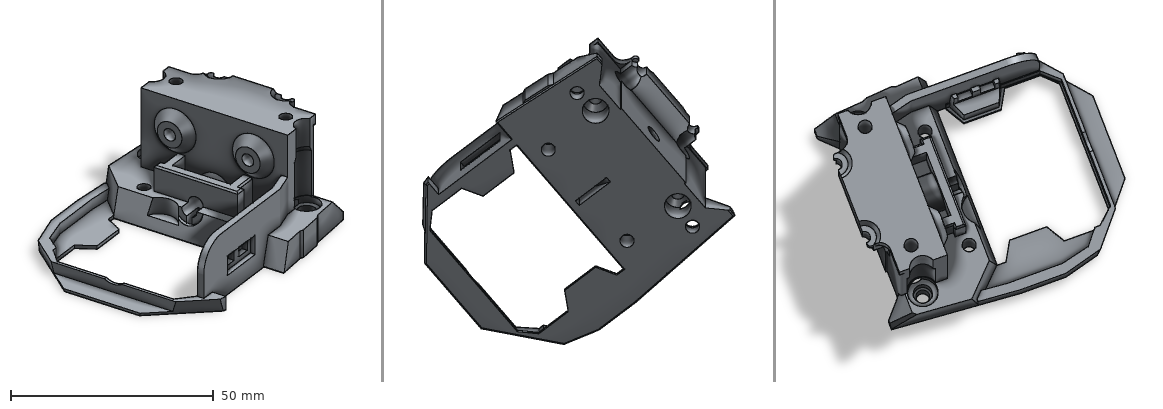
import cadquery as cq
import math


BASE_TOP = 8.2
RIM_TOP = 4.0
FLOOR_TOP = 1.0
BOTTOM_CHAMFER = 0.35

BASE_BACK_Y = 16.8
BASE_BACK_X = 27.05
BASE_FRONT_Y = -11.3
FRONT_SLOPE_RUN = 2.25
BEVEL_SLOPE_RUN = 1.9
BEVEL_SIDE_Y = -3.8
EAR_INNER_X = 25.1
BACK_SLOPE_Z = 2.6
SIDE_BUMP = 0.5
BUMP_BACK_Y = (3.75, 2.4)
BUMP_FRONT_Y = (-4.4, -5.3)
FACET_EDGE_Z = 0.95
FACET_NORMAL = (-1.0, 0.85, 0.7)

FRAME_SIDE_X = 29.6
FRAME_SIDE_START_Y = -16.5
FRAME_START_Y = -5.45
FRAME_SIDE_END_Y = -28.3
RIM_CORNER = (26.8, -38.45)
FLOOR_CORNER = (27.1, -37.35)
LIP_Y = -50.7
LIP_X = 11.0
LIP_TOP_X = 12.2
FRONT_WALL_Y = -45.55
OPENING_X = 20.9
OPENING_FRONT = (17.2, -44.2)
OPENING_CORNER_Y = -40.4
FRONT_LEDGE = 0.5
SIDE_LEDGE = 0.15
RIM_INNER_LEFT = [
    (-26.2, FRAME_START_Y),
    (-26.9, -13.85),
    (-26.9, FRAME_SIDE_END_Y),
    (-25.1, -35.85),
    (-21.05, -39.05),
]
DIP_RADIUS = 4.9
FRAME_GAP_END_Y = -36.55

TAB_MID_Y = -23.4
TAB_TIP_X = 16.0
TAB_TIP_HALF = 4.9
TAB_ROOT_HALF = 7.7
CLIP_BOX_X = 16.7
CLIP_BOX_TOP = 5.6
CLIP_PLATE_X = 20.2
CLIP_PLATE_TOP = 10.35
CLIP_TIP_HALF = 4.65
CLIP_TOP_HALF = 6.3
CLIP_BOTTOM_HALF = 6.95
WINDOW_Z = (6.8, 9.55)
WINDOW_WIDTH = 3.8
WINDOW_PITCH = 5.9
WINDOW_RECESS_X = 21.8
WINDOW_RECESS_MARGIN = 1.35

WALL_TOP = 18.7
WALL_INNER_X = 21.35
WALL_THICKNESS = 1.9
WALL_INNER_BEND_Y = -6.5
WALL_OUTER_BEND_Y = -5.9
WALL_SHIFT = 1.65
WALL_OVERLAP = 0.7
WALL_END_Y = -40.35
WALL_RADIUS = 8.0

BLOCK_X = 21.6
BLOCK_TOP = 30.6
CAP_THICKNESS = 2.8
CAP_BACK_Y = 12.6
BODY_BACK_Y = 12.5
BODY_CORNER_RADIUS = 1.0
SPINE_BACK_Y = 12.9
LUG_X = 12.6
LUG_BACK_Y = 17.45
LUG_BOTTOM = 24.7
LUG_FILLET = 2.9
LUG_TIP_RADIUS = 0.8
LUG_RELIEF_RADIUS = 1.35

SCREW_DIAMETER = 3.4
CONE_X = 11.5
CONE_Z = 21.6
CONE_DIAMETER = 12.3
CONE_HEIGHT = 2.5
HEAD_DIAMETER = 6.0
HEAD_SEAT_Y = 10.2
BLOCK_HOLE = (16.15, 7.5)
BLOCK_HOLE_HEAD_DIAMETER = 6.55
BLOCK_HOLE_HEAD_TOP = 7.5
FRONT_HOLE = (15.5, -8.05)
SIDE_SCREW = (22.7, 6.9)
SIDE_BORE_DIAMETER = 4.7
SIDE_BORE_DEPTH = 2.7
SIDE_POCKET_DEPTH = 1.8
SIDE_POCKET_DIAMETER = 7.5
SIDE_POCKET_TOP = 8.4
SIDE_GROOVE_DIAMETER = 7.9
SIDE_GROOVE_TOP_DIAMETER = 6.55
SIDE_CONE_Z = (21.2, 22.55)
NOTCH_X = 9.95
NOTCH_Y = 17.5
NOTCH_DIAMETER = 3.0
NOTCH_SINK_DEPTH = 1.0

RAIL_X = 12.35
RAIL_FRONT_Y = -8.4
RAIL_FLANGE_Y = -5.5
RAIL_INNER_Y = -5.8
RAIL_ARM_OUTER_X = 11.2
RAIL_ARM_INNER_X = 8.6
RAIL_TOP = 15.4
RAIL_CHAMFER = 0.5
TUBE_DIAMETER = 9.95
TUBE_BORE = 4.4
TUBE_SEAT_DIAMETER = 8.05
KEY_SLOT_WIDTH = 1.5
KEY_SLOT_BACK_Y = -6.15
KEY_SLOT_SLOPE_Z = 4.7
SCOOP = (-6.95, -14.6)
SCOOP_RADIUS = 5.0
SCOOP_FLOOR = 3.55

THROUGH = 81.8


def prism(points, z_low, z_high):
    """Vertical prism over a closed outline."""
    return cq.Workplane("XY").workplane(offset=z_low).polyline(points).close().extrude(z_high - z_low)


def ruled(low_points, low_z, high_points, high_z):
    """Solid with straight sides between two outlines."""
    return (
        cq.Workplane("XY").workplane(offset=low_z).polyline(low_points).close()
        .workplane(offset=high_z - low_z).polyline(high_points).close()
        .loft(ruled=True)
    )


def box(x, y, z):
    """Box from (low, high) limits on each axis."""
    size = [limits[1] - limits[0] for limits in (x, y, z)]
    return cq.Workplane("XY").box(*size, centered=False).translate((x[0], y[0], z[0]))


def cylinder(x, y, diameter, z_low, z_high):
    circle = cq.Workplane("XY").workplane(offset=z_low).center(x, y).circle(diameter / 2)
    return circle.extrude(z_high - z_low)


def cone(x, y, low_diameter, high_diameter, z_low, z_high):
    return (
        cq.Workplane("XY").workplane(offset=z_low).center(x, y).circle(low_diameter / 2)
        .workplane(offset=z_high - z_low).circle(high_diameter / 2).loft()
    )


def y_disc(x, z, diameter, y_start):
    """Circle facing -Y, ready to extrude or loft toward -Y."""
    return cq.Workplane("XZ", origin=(x, y_start, z)).circle(diameter / 2)


def symmetric(half):
    """Close an outline given by its -X half, listed from back to front."""
    return half + [(-x, y) for x, y in reversed(half)]


def side_x(y):
    """Half width of the base at a given Y."""
    flare = (FRAME_SIDE_X - BASE_BACK_X) / (BASE_BACK_Y - FRAME_SIDE_START_Y)
    return BASE_BACK_X + flare * (BASE_BACK_Y - y)


def base_outline(front_run, bevel_run):
    bevel_y = BEVEL_SIDE_Y - bevel_run
    front_y = BASE_FRONT_Y - front_run
    return [
        (-BASE_BACK_X, BASE_BACK_Y),
        (-side_x(bevel_y), bevel_y),
        (-OPENING_X, front_y),
        (side_x(front_y), front_y),
        (BASE_BACK_X, BASE_BACK_Y),
    ]


def make_base():
    base = ruled(base_outline(FRONT_SLOPE_RUN, BEVEL_SLOPE_RUN), 0, base_outline(0, 0), BASE_TOP)
    base = base.faces("<Z").chamfer(BOTTOM_CHAMFER)
    bump = [
        (BASE_BACK_X, BUMP_BACK_Y[0]),
        (side_x(BUMP_BACK_Y[0]), BUMP_BACK_Y[0]),
        (side_x(BUMP_BACK_Y[1]) + SIDE_BUMP, BUMP_BACK_Y[1]),
        (side_x(BUMP_FRONT_Y[0]) + SIDE_BUMP, BUMP_FRONT_Y[0]),
        (side_x(BUMP_FRONT_Y[1]), BUMP_FRONT_Y[1]),
        (BASE_BACK_X, BUMP_FRONT_Y[1]),
    ]
    base = base.union(prism(bump, BOTTOM_CHAMFER, BASE_TOP))

    notch_run = BASE_BACK_Y - BODY_BACK_Y
    notch = symmetric([(-EAR_INNER_X, BASE_BACK_Y), (-EAR_INNER_X + notch_run, BODY_BACK_Y)])
    slope_run = BASE_TOP - BACK_SLOPE_Z
    slope = (
        cq.Workplane("YZ")
        .polyline([
            (BASE_BACK_Y, BACK_SLOPE_Z),
            (BASE_BACK_Y, BASE_TOP),
            (BASE_BACK_Y - slope_run, BASE_TOP),
        ])
        .close().extrude(THROUGH / 2, both=True)
    )
    facet_plane = cq.Plane(origin=(-BASE_BACK_X, BASE_BACK_Y, FACET_EDGE_Z), normal=FACET_NORMAL)
    facet = cq.Workplane(facet_plane).rect(THROUGH / 2, THROUGH / 2).extrude(THROUGH / 4)
    return base.cut(prism(notch, 0, BASE_TOP)).cut(slope).cut(facet)


def make_frame():
    def outline(corner, lip_x):
        return symmetric([
            (-side_x(FRAME_START_Y), FRAME_START_Y),
            (-FRAME_SIDE_X, FRAME_SIDE_START_Y),
            (-FRAME_SIDE_X, FRAME_SIDE_END_Y),
            (-corner[0], corner[1]),
            (-lip_x, LIP_Y),
        ])

    frame = ruled(outline(FLOOR_CORNER, LIP_X), 0, outline(RIM_CORNER, LIP_TOP_X), RIM_TOP)
    frame = frame.faces("<Z").chamfer(BOTTOM_CHAMFER)

    opening = symmetric([
        (-OPENING_X, FRAME_START_Y),
        (-OPENING_X, OPENING_CORNER_Y),
        (-OPENING_FRONT[0], OPENING_FRONT[1]),
    ])
    ledge_x = OPENING_X + SIDE_LEDGE
    ledge_y = OPENING_FRONT[1] - FRONT_LEDGE
    rim_inside = RIM_INNER_LEFT + [
        (-ledge_x, OPENING_CORNER_Y),
        (-OPENING_FRONT[0], ledge_y),
        (OPENING_FRONT[0], ledge_y),
        (ledge_x, OPENING_CORNER_Y),
        (ledge_x, FRAME_START_Y),
    ]
    wall_outer_x = WALL_INNER_X + WALL_THICKNESS
    frame = frame.cut(prism(opening, 0, RIM_TOP)).cut(prism(rim_inside, FLOOR_TOP, RIM_TOP))
    tab_back_y = TAB_MID_Y + TAB_ROOT_HALF
    frame = frame.cut(box((OPENING_X, WALL_INNER_X), (tab_back_y, FRAME_START_Y), (0, RIM_TOP)))
    frame = frame.cut(box((wall_outer_x, THROUGH), (FRAME_GAP_END_Y, FRAME_START_Y), (0, RIM_TOP)))
    frame = frame.cut(box((-THROUGH, THROUGH), (-THROUGH, FRONT_WALL_Y), (FLOOR_TOP, RIM_TOP)))
    wall_depth = OPENING_FRONT[1] - FRONT_WALL_Y
    return frame.cut(y_disc(0, BASE_TOP, 2 * DIP_RADIUS, OPENING_FRONT[1]).extrude(wall_depth))


def make_tabs():
    """Thin pointed tabs reaching into the opening from both sides."""
    left = [
        (-WALL_INNER_X, TAB_MID_Y + TAB_ROOT_HALF),
        (-OPENING_X, TAB_MID_Y + TAB_ROOT_HALF),
        (-TAB_TIP_X, TAB_MID_Y + TAB_TIP_HALF),
        (-TAB_TIP_X, TAB_MID_Y - TAB_TIP_HALF),
        (-OPENING_X, TAB_MID_Y - TAB_ROOT_HALF),
        (-WALL_INNER_X, TAB_MID_Y - TAB_ROOT_HALF),
    ]
    tab = prism(left, 0, FLOOR_TOP)
    return tab.union(tab.mirror("YZ"))


def make_side_wall():
    """Wall along the right of the frame with its clip box and two windows."""
    outer_x = WALL_INNER_X + WALL_THICKNESS
    path = [
        (WALL_INNER_X - WALL_SHIFT, WALL_OVERLAP),
        (WALL_INNER_X - WALL_SHIFT, 0),
        (WALL_INNER_X, WALL_INNER_BEND_Y),
        (WALL_INNER_X, WALL_END_Y),
        (outer_x, WALL_END_Y),
        (outer_x, WALL_OUTER_BEND_Y),
        (outer_x - WALL_SHIFT, 0),
        (outer_x - WALL_SHIFT, WALL_OVERLAP),
    ]
    wall = prism(path, BOTTOM_CHAMFER, WALL_TOP)
    wall = wall.edges("|X and >Z and <Y").fillet(WALL_RADIUS)

    def clip_outline(root_half):
        return [
            (CLIP_BOX_X, TAB_MID_Y + CLIP_TIP_HALF),
            (CLIP_BOX_X, TAB_MID_Y - CLIP_TIP_HALF),
            (WALL_INNER_X, TAB_MID_Y - root_half),
            (WALL_INNER_X, TAB_MID_Y + root_half),
        ]

    clip = ruled(clip_outline(CLIP_BOTTOM_HALF), FLOOR_TOP, clip_outline(CLIP_TOP_HALF), CLIP_PLATE_TOP)
    clip = clip.cut(box((CLIP_BOX_X, CLIP_PLATE_X), (-THROUGH, THROUGH), (CLIP_BOX_TOP, CLIP_PLATE_TOP)))
    wall = wall.union(clip)
    for side in (-1, 1):
        window_y = TAB_MID_Y + side * WINDOW_PITCH / 2
        y_limits = (window_y - WINDOW_WIDTH / 2, window_y + WINDOW_WIDTH / 2)
        wall = wall.cut(box((CLIP_PLATE_X, outer_x), y_limits, WINDOW_Z))
        wall = wall.cut(box((CLIP_PLATE_X, WALL_INNER_X), y_limits, (WINDOW_Z[0], CLIP_PLATE_TOP)))
    recess_half = (WINDOW_PITCH + WINDOW_WIDTH) / 2 + WINDOW_RECESS_MARGIN
    return wall.cut(box(
        (WINDOW_RECESS_X, outer_x),
        (TAB_MID_Y - recess_half, TAB_MID_Y + recess_half),
        (WINDOW_Z[0] - WINDOW_RECESS_MARGIN, WINDOW_Z[1] + WINDOW_RECESS_MARGIN),
    ))


def make_block():
    cap_bottom = BLOCK_TOP - CAP_THICKNESS
    fillet_x = LUG_X + LUG_FILLET
    diagonal = LUG_FILLET * math.sqrt(0.5)
    tip = LUG_TIP_RADIUS * (1 - math.sqrt(0.5))
    fillet_mid_y = CAP_BACK_Y + LUG_FILLET - diagonal
    cap = (
        cq.Workplane("XY").workplane(offset=cap_bottom)
        .moveTo(-BLOCK_X, 0)
        .lineTo(-BLOCK_X, CAP_BACK_Y)
        .lineTo(-fillet_x, CAP_BACK_Y)
        .threePointArc((-fillet_x + diagonal, fillet_mid_y), (-LUG_X, CAP_BACK_Y + LUG_FILLET))
        .lineTo(-LUG_X, LUG_BACK_Y - LUG_TIP_RADIUS)
        .threePointArc((-LUG_X + tip, LUG_BACK_Y - tip), (-LUG_X + LUG_TIP_RADIUS, LUG_BACK_Y))
        .lineTo(0, LUG_BACK_Y)
        .lineTo(0, 0)
        .close().extrude(CAP_THICKNESS)
    )
    cap = cap.union(cap.mirror("YZ"))

    body = box((-BLOCK_X, BLOCK_X), (0, BODY_BACK_Y), (0, cap_bottom))
    body = body.edges("|Z and >Y").fillet(BODY_CORNER_RADIUS)

    spine = (
        cq.Workplane("YZ")
        .polyline([
            (0, 0),
            (SPINE_BACK_Y, 0),
            (SPINE_BACK_Y, LUG_BOTTOM - LUG_BACK_Y + SPINE_BACK_Y),
            (LUG_BACK_Y, LUG_BOTTOM),
            (LUG_BACK_Y, cap_bottom),
            (0, cap_bottom),
        ])
        .close().extrude(LUG_X, both=True)
    )
    for side in (-1, 1):
        spine = spine.cut(cylinder(side * LUG_X, LUG_BACK_Y, 2 * LUG_RELIEF_RADIUS, 0, cap_bottom))
    return cap.union(body).union(spine)


def make_front_rail():
    """T-shaped rail on two arms, with the tube stub behind it."""
    rail = prism(symmetric([
        (-RAIL_ARM_OUTER_X, 0),
        (-RAIL_ARM_OUTER_X, RAIL_FLANGE_Y),
        (-RAIL_X, RAIL_FLANGE_Y),
        (-RAIL_X, RAIL_FRONT_Y),
    ]), BASE_TOP, RAIL_TOP)
    rail = rail.faces(">Z").edges("not(>Y)").chamfer(RAIL_CHAMFER)
    rail = rail.cut(box((-RAIL_ARM_INNER_X, RAIL_ARM_INNER_X), (RAIL_INNER_Y, 0), (BASE_TOP, RAIL_TOP)))
    return rail.union(y_disc(0, BASE_TOP, TUBE_DIAMETER, 0).extrude(-RAIL_INNER_Y))


def add_cone_bosses(part):
    for side in (-1, 1):
        boss = (
            y_disc(side * CONE_X, CONE_Z, CONE_DIAMETER, 0)
            .workplane(offset=CONE_HEIGHT).circle(CONE_DIAMETER / 2 - CONE_HEIGHT).loft()
        )
        part = part.union(boss)
        part = part.cut(y_disc(side * CONE_X, CONE_Z, SCREW_DIAMETER, THROUGH / 2).extrude(THROUGH))
        head = y_disc(side * CONE_X, CONE_Z, HEAD_DIAMETER, LUG_BACK_Y).extrude(LUG_BACK_Y - HEAD_SEAT_Y)
        part = part.cut(head)
    return part


def cut_vertical_holes(part):
    for side in (-1, 1):
        for x, y in (BLOCK_HOLE, FRONT_HOLE, SIDE_SCREW):
            part = part.cut(cylinder(side * x, y, SCREW_DIAMETER, 0, BLOCK_TOP))

        x, y = side * BLOCK_HOLE[0], BLOCK_HOLE[1]
        cone_top = BLOCK_HOLE_HEAD_TOP + (BLOCK_HOLE_HEAD_DIAMETER - SCREW_DIAMETER) / 2
        part = part.cut(cylinder(x, y, BLOCK_HOLE_HEAD_DIAMETER, 0, BLOCK_HOLE_HEAD_TOP))
        part = part.cut(cone(x, y, BLOCK_HOLE_HEAD_DIAMETER, SCREW_DIAMETER, BLOCK_HOLE_HEAD_TOP, cone_top))

        x, y = side * SIDE_SCREW[0], SIDE_SCREW[1]
        pocket_floor = BASE_TOP - SIDE_POCKET_DEPTH
        cone_low, cone_high = SIDE_CONE_Z
        part = part.cut(cylinder(x, y, SIDE_BORE_DIAMETER, pocket_floor - SIDE_BORE_DEPTH, pocket_floor))
        part = part.cut(cylinder(x, y, SIDE_POCKET_DIAMETER, pocket_floor, SIDE_POCKET_TOP))
        part = part.cut(cylinder(x, y, SIDE_GROOVE_DIAMETER, SIDE_POCKET_TOP, cone_low))
        part = part.cut(cone(x, y, SIDE_GROOVE_DIAMETER, SIDE_GROOVE_TOP_DIAMETER, cone_low, cone_high))
        part = part.cut(cylinder(x, y, SIDE_GROOVE_TOP_DIAMETER, cone_high, BLOCK_TOP))

        x = side * NOTCH_X
        seat_z = BLOCK_TOP - NOTCH_SINK_DEPTH
        mouth = HEAD_DIAMETER + 2 * NOTCH_SINK_DEPTH
        part = part.cut(cylinder(x, NOTCH_Y, NOTCH_DIAMETER, 0, BLOCK_TOP))
        part = part.cut(cone(x, NOTCH_Y, HEAD_DIAMETER, mouth, seat_z, BLOCK_TOP))
    return part


def cut_front_features(part):
    """Tube bore with round seat, key slot and round scoop in the base front."""
    part = part.cut(y_disc(0, BASE_TOP, TUBE_BORE, THROUGH / 2).extrude(THROUGH))
    seat = y_disc(0, BASE_TOP, TUBE_SEAT_DIAMETER, BASE_FRONT_Y).extrude(FRONT_SLOPE_RUN)
    key_slot = (
        cq.Workplane("YZ")
        .polyline([
            (BASE_FRONT_Y, 0),
            (BASE_FRONT_Y, BASE_TOP),
            (KEY_SLOT_BACK_Y, BASE_TOP),
            (KEY_SLOT_BACK_Y, KEY_SLOT_SLOPE_Z),
            (KEY_SLOT_BACK_Y + KEY_SLOT_SLOPE_Z, 0),
        ])
        .close().extrude(KEY_SLOT_WIDTH / 2, both=True)
    )
    scoop = cylinder(*SCOOP, 2 * SCOOP_RADIUS, SCOOP_FLOOR, BASE_TOP)
    return part.cut(seat).cut(key_slot).cut(scoop)


bracket = make_frame().union(make_tabs()).union(make_base()).union(make_side_wall())
bracket = bracket.union(make_block()).union(make_front_rail())
bracket = add_cone_bosses(bracket)
bracket = cut_vertical_holes(bracket)
result = cut_front_features(bracket)